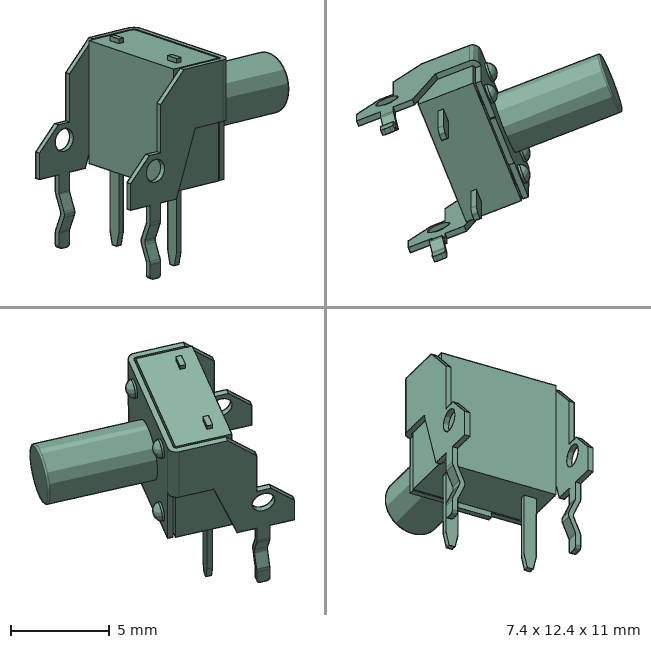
import cadquery as cq
import math


housing_width = 6.6
housing_height = 6.5
housing_depth = 3.0
housing_gap = 0.4
housing_bottom = -housing_height / 2
housing_top = housing_height / 2

button_diameter = 3.15
button_reach = 5.8
button_edge_radius = 0.1

rivet_spacing = 4.5
rivet_shank_diameter = 0.85
rivet_head_diameter = 1.0
rivet_rim_height = 0.12
rivet_head_height = 0.45

pin_stub_height = 0.24
pin_length = 11.0
pin_spacing = 4.5
pin_width = 0.7
pin_thickness = 0.3
pin_center_y = -2.45
pin_top = housing_top + pin_stub_height
pin_bottom = pin_top - pin_length
pin_taper_height = 0.75
pin_tip_width = 0.35
pin_tip_radius = 0.05

bracket_width = 7.4
sheet = 0.3
bend_outer_radius = 0.45
bend_inner_radius = bend_outer_radius - sheet
bracket_bottom = -3.5
tab_width = 2.55
side_back_y = -4.6
side_chamfer_start_y = -3.05
side_chamfer_end_z = 1.7
foot_start_y = -3.55
side_lower_edge_y = -2.3

ear_back_y = -6.6
ear_top = -0.85
ear_chamfer = 1.25
ear_hole_diameter = 1.2
ear_hole_z = -1.73

leg_width = 0.7
leg_center_y = side_back_y - leg_width / 2
leg_bottom = -7.43
leg_corner_radius = 0.2
kink_depth = 0.45
kink_top = -4.5
kink_bottom = -6.55
kink_middle = (kink_top + kink_bottom) / 2
kink_inside_radius = 0.3
kink_outside_radius = 0.4


def box(x_range, y_range, z_range):
    """Axis-aligned block between the given limits."""
    size = [high - low for low, high in (x_range, y_range, z_range)]
    corner = (x_range[0], y_range[0], z_range[0])
    return cq.Workplane("XY").box(*size, centered=False).translate(corner)


def make_housing():
    half_width = housing_width / 2
    return box(
        (-half_width, half_width),
        (-housing_gap - housing_depth, -housing_gap),
        (housing_bottom, housing_top),
    )


def make_button():
    cylinder = (
        cq.Workplane("XZ", origin=(0, -housing_gap, 0))
        .circle(button_diameter / 2)
        .extrude(-(button_reach + housing_gap))
    )
    return cylinder.faces(">Y").edges().fillet(button_edge_radius)


def make_rivet(x, z):
    """Shank from the housing through the bracket, with a domed head outside."""
    shank_radius = rivet_shank_diameter / 2
    head_radius = rivet_head_diameter / 2
    dome_height = rivet_head_height - rivet_rim_height
    sphere_radius = (head_radius**2 + dome_height**2) / (2 * dome_height)
    sphere_center_y = rivet_head_height - sphere_radius
    half_angle = math.asin(head_radius / sphere_radius) / 2
    dome_middle = (
        sphere_radius * math.sin(half_angle),
        sphere_center_y + sphere_radius * math.cos(half_angle),
    )
    rivet = (
        cq.Workplane("XY")
        .moveTo(0, -housing_gap)
        .lineTo(shank_radius, -housing_gap)
        .lineTo(shank_radius, 0)
        .lineTo(head_radius, 0)
        .lineTo(head_radius, rivet_rim_height)
        .threePointArc(dome_middle, (0, rivet_head_height))
        .close()
        .revolve(360, (0, 0, 0), (0, 1, 0))
    )
    return rivet.translate((x, 0, z))


def make_pin(x):
    """Flat terminal through the housing with a tapered lower tip."""
    half_width = pin_width / 2
    half_tip = pin_tip_width / 2
    taper_start = pin_bottom + pin_taper_height
    outline = [
        (-half_width, pin_top),
        (half_width, pin_top),
        (half_width, taper_start),
        (half_tip, pin_bottom),
        (-half_tip, pin_bottom),
        (-half_width, taper_start),
    ]
    blade = (
        cq.Workplane("XZ", origin=(x, pin_center_y, 0))
        .polyline(outline)
        .close()
        .extrude(pin_thickness / 2, both=True)
    )
    return blade.faces("<Z").edges("|Y").fillet(pin_tip_radius)


def make_bracket_channel():
    """U-shaped sheet with rounded bends, trimmed to the outline of its sides."""
    outer = box(
        (-bracket_width / 2, bracket_width / 2),
        (ear_back_y, 0),
        (bracket_bottom, housing_top),
    )
    outer = outer.edges("|Z and >Y").fillet(bend_outer_radius)
    inner_half_width = bracket_width / 2 - sheet
    inner = box(
        (-inner_half_width, inner_half_width),
        (ear_back_y, -sheet),
        (bracket_bottom, housing_top),
    )
    inner = inner.edges("|Z and >Y").fillet(bend_inner_radius)
    side_outline = [
        (0, housing_top),
        (side_chamfer_start_y, housing_top),
        (side_back_y, side_chamfer_end_z),
        (side_back_y, ear_top),
        (ear_back_y + ear_chamfer, ear_top),
        (ear_back_y, ear_top - ear_chamfer),
        (ear_back_y, bracket_bottom),
        (foot_start_y, bracket_bottom),
        (side_lower_edge_y, 0),
        (0, 0),
    ]
    side_profile = (
        cq.Workplane("YZ")
        .polyline(side_outline)
        .close()
        .extrude(bracket_width / 2, both=True)
    )
    ear_holes = (
        cq.Workplane("YZ")
        .center(leg_center_y, ear_hole_z)
        .circle(ear_hole_diameter / 2)
        .extrude(bracket_width / 2, both=True)
    )
    return outer.cut(inner).intersect(side_profile).cut(ear_holes)


def make_front_apron():
    """Lower half of the bracket front with its narrow bottom tab."""
    flat_half_width = bracket_width / 2 - bend_outer_radius
    panel = box((-flat_half_width, flat_half_width), (-sheet, 0), (housing_bottom, 0))
    tab = box((-tab_width / 2, tab_width / 2), (-sheet, 0), (bracket_bottom, housing_bottom))
    return panel.union(tab)


def make_left_leg():
    """Snap-in leg of the -X side, kinked toward the middle of the part."""
    outer_x = -bracket_width / 2
    inner_x = outer_x + sheet
    outline = [
        (outer_x, bracket_bottom),
        (outer_x, kink_top),
        (outer_x + kink_depth, kink_middle),
        (outer_x, kink_bottom),
        (outer_x, leg_bottom),
        (inner_x, leg_bottom),
        (inner_x, kink_bottom),
        (inner_x + kink_depth, kink_middle),
        (inner_x, kink_top),
        (inner_x, bracket_bottom),
    ]
    leg = (
        cq.Workplane("XZ", origin=(0, leg_center_y, 0))
        .polyline(outline)
        .close()
        .extrude(leg_width / 2, both=True)
    )

    def bend_edge(x, z):
        return cq.selectors.NearestToPointSelector((x, leg_center_y, z))

    bends = [
        (outer_x, kink_top, bend_outer_radius),
        (outer_x, kink_bottom, bend_outer_radius),
        (inner_x, kink_top, bend_inner_radius),
        (inner_x, kink_bottom, bend_inner_radius),
        (outer_x + kink_depth, kink_middle, kink_inside_radius),
        (inner_x + kink_depth, kink_middle, kink_outside_radius),
    ]
    for x, z, radius in bends:
        leg = leg.edges("|Y").edges(bend_edge(x, z)).fillet(radius)
    return leg.faces("<Z").edges("|X").fillet(leg_corner_radius)


def make_bracket():
    left_leg = make_left_leg()
    right_leg = left_leg.mirror("YZ")
    return make_bracket_channel().union(make_front_apron()).union(left_leg).union(right_leg)


result = make_housing().union(make_bracket()).union(make_button())
for side in (-1, 1):
    result = result.union(make_pin(side * pin_spacing / 2))
    for level in (-1, 1):
        result = result.union(make_rivet(side * rivet_spacing / 2, level * rivet_spacing / 2))